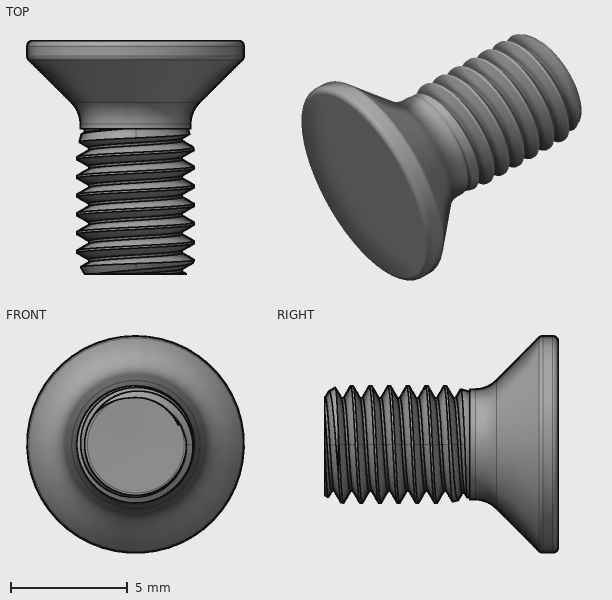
import cadquery as cq
import math


TAN_FLANK = math.tan(math.radians(30))
SIN45 = math.sin(math.radians(45))
HALF45 = math.radians(22.5)

length = 10.0
head_radius = 4.65
top_round = 0.25
rim_depth = 0.66
rim_round = 0.24
neck_radius = 2.37
neck_round = 1.29
neck_round_end = 3.56
neck_end = 3.78

pitch = 0.8
major_radius = 2.51
root_radius = 2.01
crest_flat = pitch / 8
thread_start_radius = 2.26
thread_full_depth = 4.7
thread_depth = major_radius - root_radius
flank_width = thread_depth * TAN_FLANK
root_width = pitch - crest_flat - 2 * flank_width
groove_start = 4.24
runout_rise = 0.4

tip_radius = 2.18
tip_chamfer = (major_radius - tip_radius) / TAN_FLANK
dish_radius = 2.07
dish_depth = 0.05


def blank():
    """Revolved screw body before the thread is cut, with a shallow conical dish in the tip."""
    rim_cone = (head_radius - rim_round * (1 - SIN45), rim_depth + rim_round * SIN45)
    rim_mid = (head_radius - rim_round * (1 - math.cos(HALF45)), rim_depth + rim_round * math.sin(HALF45))
    neck_cone = (neck_radius + neck_round * (1 - SIN45), neck_round_end - neck_round * SIN45)
    neck_mid = (
        neck_radius + neck_round * (1 - math.cos(HALF45)),
        neck_round_end - neck_round * math.sin(HALF45),
    )
    top_mid = (head_radius - top_round * (1 - SIN45), top_round * (1 - SIN45))
    return (
        cq.Workplane("XZ")
        .moveTo(0, 0)
        .lineTo(head_radius - top_round, 0)
        .threePointArc(top_mid, (head_radius, top_round))
        .lineTo(head_radius, rim_depth)
        .threePointArc(rim_mid, rim_cone)
        .lineTo(*neck_cone)
        .threePointArc(neck_mid, (neck_radius, neck_round_end))
        .lineTo(neck_radius, neck_end)
        .lineTo(thread_start_radius, neck_end)
        .lineTo(major_radius, thread_full_depth)
        .lineTo(major_radius, length - tip_chamfer)
        .lineTo(tip_radius, length)
        .lineTo(dish_radius, length)
        .lineTo(0, length - dish_depth)
        .close()
        .revolve(360, (0, 0, 0), (0, 1, 0))
    )


def groove_turn(taper_angle=360):
    """One turn of V groove with a flat root, climbing from Z = 0 at +X; 360 means no taper."""
    overshoot = 0.04
    half_root = root_width / 2
    half_mouth = half_root + (thread_depth + overshoot) * TAN_FLANK
    mouth_radius = major_radius + overshoot
    corners = [
        (root_radius, -half_root),
        (mouth_radius, -half_mouth),
        (mouth_radius, half_mouth),
        (root_radius, half_root),
    ]
    rails = [
        cq.Wire.makeHelix(pitch, pitch, radius, angle=taper_angle).translate(cq.Vector(0, 0, z))
        for radius, z in corners
    ]
    sides = [cq.Face.makeRuledSurface(rail, rails[i - 1]) for i, rail in enumerate(rails)]
    ends = [
        cq.Face.makeFromWires(cq.Wire.makePolygon([rail.positionAt(t) for rail in rails], close=True))
        for t in (0, 1)
    ]
    shell = cq.Shell.makeShell(sides + ends)
    return cq.Workplane(cq.Solid.makeSolid(shell).fix())


def cut_thread(body):
    """Cut full-depth turns one after another until they run out past the tip."""
    turns = math.ceil((length - groove_start) / pitch) + 1
    for turn in range(turns):
        body = body.cut(groove_turn().translate((0, 0, groove_start + turn * pitch)))
    return body


def runout_groove():
    """One turn that rises towards the neck, trimmed so the neck stays whole."""
    taper = math.degrees(math.atan(runout_rise / pitch))
    groove = groove_turn(taper).rotate((0, 0, 0), (1, 0, 0), 180)
    neck_guard = cq.Workplane("XY").circle(head_radius).extrude(neck_end)
    return groove.translate((0, 0, groove_start)).cut(neck_guard)


seam_turned_blank = blank().rotate((0, 0, 0), (0, 0, 1), 90)
screw = cut_thread(seam_turned_blank).cut(runout_groove())
result = screw.rotate((0, 0, 0), (1, 0, 0), 90)